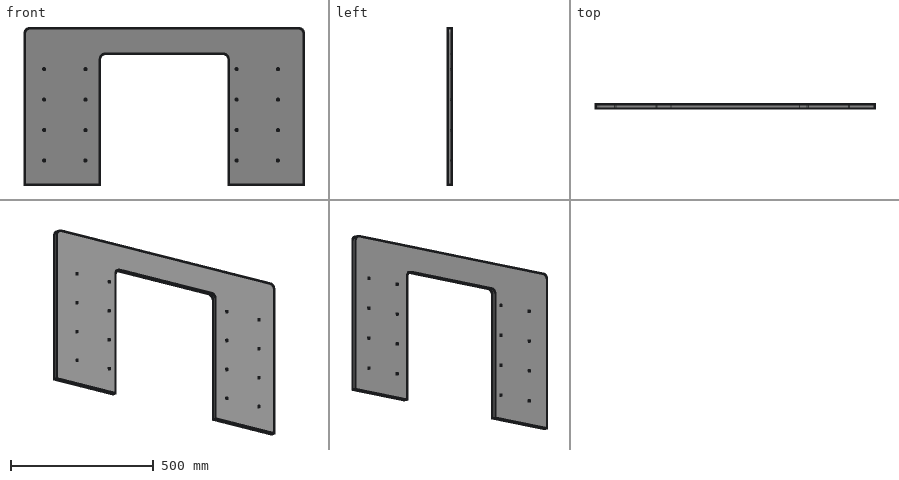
import cadquery as cq

width = 980.0
thickness = 16.0
height = 550.0
corner_radius = 20.0

leg_width = 265.0
top_rail_height = 90.0
opening_width = width - 2 * leg_width
opening_height = height - top_rail_height
opening_radius = 20.0

hole_diameter = 5.0
hole_column_spacing = 145.0
hole_row_spacing = 107.0
hole_row_count = 4
outer_hole_inset = 69.0
right_outer_hole_inset = 91.0
lowest_hole_height = 85.0


def make_block(block_width, block_height, top_radius):
    """Upright plate centred on X, resting on Z = 0, with rounded top corners."""
    block = cq.Workplane("XY").box(block_width, thickness, block_height, centered=(True, True, False))
    return block.edges("|Y and >Z").fillet(top_radius)


def hole_positions():
    """X and Z of every fixing hole."""
    left_outer = -width / 2 + outer_hole_inset
    right_outer = width / 2 - right_outer_hole_inset
    columns = [
        left_outer,
        left_outer + hole_column_spacing,
        right_outer - hole_column_spacing,
        right_outer,
    ]
    rows = [lowest_hole_height + row * hole_row_spacing for row in range(hole_row_count)]
    return [(x, z) for x in columns for z in rows]


panel = make_block(width, height, corner_radius)
opening = make_block(opening_width, opening_height, opening_radius)
holes = (
    cq.Workplane("XZ")
    .pushPoints(hole_positions())
    .circle(hole_diameter / 2)
    .extrude(thickness, both=True)
)

result = panel.cut(opening).cut(holes)